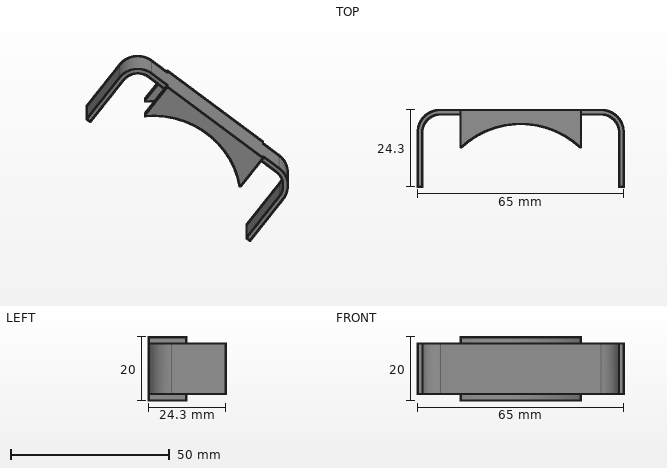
import cadquery as cq

strap_length = 65.0
strap_depth = 24.3
strap_height = 16.0
strap_thickness = 1.5
bend_radius = 7.15

plate_thickness = 2.0
plate_length = 38.1
plate_side_depth = 11.7
plate_middle_depth = 4.5
tip_width = 0.25
tip_drop = 0.2

back_y = strap_depth / 2


def rounded_block(length, depth, back, radius):
    """Block as tall as the strap, with its two back corners rounded."""
    return (
        cq.Workplane("XY")
        .box(length, depth, strap_height)
        .translate((0, back - depth / 2, 0))
        .edges("|Z and >Y")
        .fillet(radius)
    )


def make_strap():
    outer = rounded_block(strap_length, strap_depth, back_y, bend_radius)
    inner = rounded_block(
        strap_length - 2 * strap_thickness,
        strap_depth,
        back_y - strap_thickness,
        bend_radius - strap_thickness,
    )
    return outer.cut(inner)


def make_plate(bottom_z):
    """Plate with a concave arc along its front, with its underside at bottom_z."""
    half_length = plate_length / 2
    side_y = back_y - plate_side_depth
    arc_end_x = half_length - tip_width
    arc_end_y = side_y - tip_drop
    return (
        cq.Workplane("XY", origin=(0, 0, bottom_z))
        .moveTo(-half_length, back_y)
        .lineTo(half_length, back_y)
        .lineTo(half_length, side_y)
        .lineTo(arc_end_x, arc_end_y)
        .threePointArc((0, back_y - plate_middle_depth), (-arc_end_x, arc_end_y))
        .lineTo(-half_length, side_y)
        .close()
        .extrude(plate_thickness)
    )


upper_plate = make_plate(strap_height / 2)
lower_plate = make_plate(-strap_height / 2 - plate_thickness)
result = make_strap().union(upper_plate).union(lower_plate)